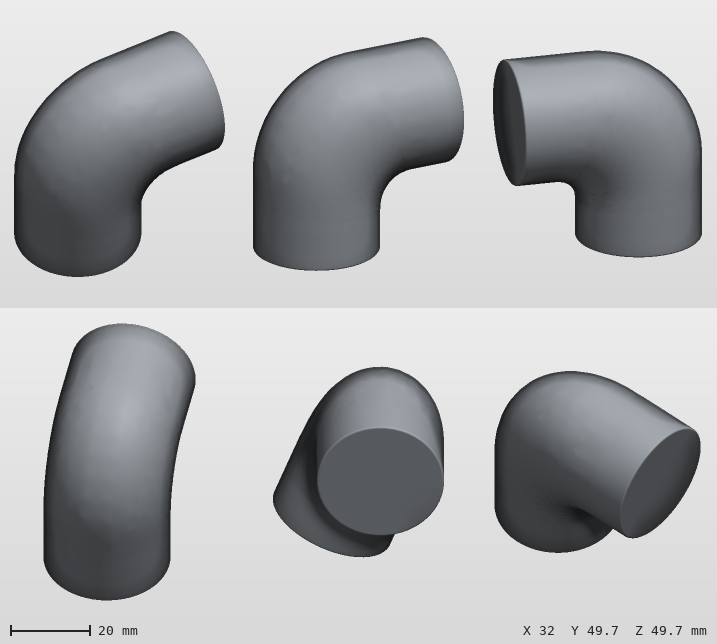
import cadquery as cq
import math

overall_length = 49.7
pipe_diameter = 32.0
inner_bend_radius = 7.45
outer_bend_radius = 28.0
end_rounding = 0.5
loft_steps = 24

pipe_radius = pipe_diameter / 2
port_reach = overall_length - pipe_radius
bend_center = pipe_radius + inner_bend_radius
sleeve_length = port_reach - bend_center
outer_wall = inner_bend_radius + pipe_diameter
arc_offset = outer_wall - outer_bend_radius


def outer_distance(angle):
    """Distance from the bend center to the outer profile along a ray at the given angle."""
    nearest_axis = min(angle, math.pi / 2 - angle)
    if outer_wall * math.tan(nearest_axis) < arc_offset:
        return outer_wall / math.cos(nearest_axis)
    along_ray = arc_offset * (math.cos(angle) + math.sin(angle))
    across_ray = arc_offset * (math.cos(angle) - math.sin(angle))
    return along_ray + math.sqrt(outer_bend_radius**2 - across_ray**2)


def bend_section(angle):
    """Elliptical section of constant X width, reaching from the inner to the outer profile."""
    outer = outer_distance(angle)
    middle = (inner_bend_radius + outer) / 2
    half_depth = (outer - inner_bend_radius) / 2
    radial = cq.Vector(0, -math.cos(angle), math.sin(angle))
    normal = cq.Vector(0, math.sin(angle), math.cos(angle))
    center = cq.Vector(0, bend_center, -bend_center) + radial * middle
    plane = cq.Plane(origin=center, xDir=radial, normal=normal)
    return cq.Workplane(plane).ellipse(half_depth, pipe_radius).wires().val()


def make_bend():
    sections = [bend_section(math.pi / 2 * step / loft_steps) for step in range(loft_steps + 1)]
    return cq.Workplane("XY").add(cq.Solid.makeLoft(sections))


def make_sleeve():
    """Straight port sleeve along +Z with its far end rounded."""
    sleeve = cq.Workplane("XY").circle(pipe_radius).extrude(sleeve_length)
    return sleeve.faces(">Z").edges().fillet(end_rounding)


upright_sleeve = make_sleeve()
lower_sleeve = upright_sleeve.rotate((0, 0, 0), (1, 0, 0), 180).translate((0, 0, -bend_center))
side_sleeve = upright_sleeve.rotate((0, 0, 0), (1, 0, 0), -90).translate((0, bend_center, 0))

result = make_bend().union(lower_sleeve).union(side_sleeve)